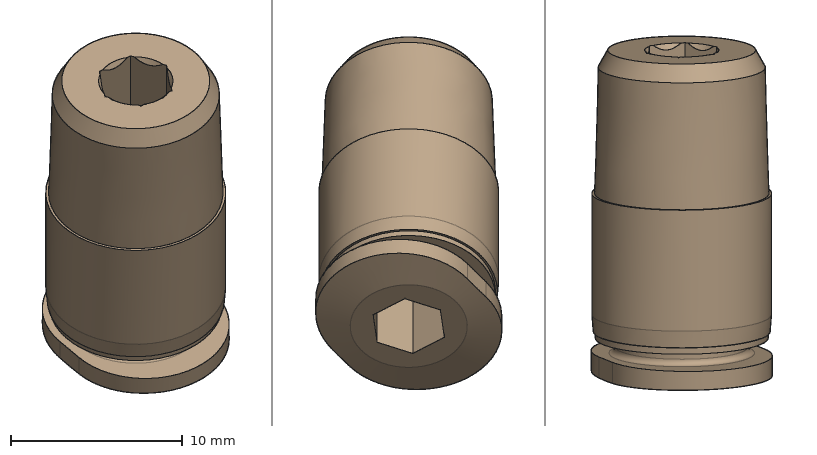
import cadquery as cq
import math

height = 19.5
body_radius = 10.5 / 2

flange_length = 11.6
flange_end_radius = 4.9
flange_top_z = 1.52
underside_flat_radius = 3.41
underside_rise = 0.4

neck_radius = 7.75 / 2
neck_fillet = 0.37
shoulder_radius = 10.1 / 2
shoulder_bottom_z = 2.42
shoulder_top_z = 2.8
lower_taper_radius = 5.17
lower_taper_top_z = 3.82

nose_bottom_z = 11.0
nose_bottom_radius = 5.09
nose_top_radius = 4.88
nose_chamfer_height = 1.01
top_face_radius = 4.3

hex_across_flats = 3.94
countersink_radius = 2.16
countersink_half_angle = 30.0


def make_flange():
    """Oblong plate whose underside is trimmed by a cone about the Z axis."""
    half_length = flange_length / 2
    plate = cq.Workplane("XY").slot2D(flange_length, 2 * flange_end_radius).extrude(flange_top_z)
    envelope = (
        cq.Workplane("XZ")
        .lineTo(underside_flat_radius, 0)
        .lineTo(half_length, underside_rise)
        .lineTo(half_length, flange_top_z)
        .lineTo(0, flange_top_z)
        .close()
        .revolve()
    )
    return plate.intersect(envelope)


def make_turned_body():
    """Neck, shoulder, cylindrical body and nose as one turned profile."""
    return (
        cq.Workplane("XZ")
        .moveTo(0, flange_top_z)
        .lineTo(neck_radius + neck_fillet, flange_top_z)
        .radiusArc((neck_radius, flange_top_z + neck_fillet), neck_fillet)
        .lineTo(neck_radius, shoulder_bottom_z)
        .lineTo(shoulder_radius, shoulder_bottom_z)
        .lineTo(shoulder_radius, shoulder_top_z)
        .lineTo(lower_taper_radius, shoulder_top_z)
        .lineTo(body_radius, lower_taper_top_z)
        .lineTo(body_radius, nose_bottom_z)
        .lineTo(nose_bottom_radius, nose_bottom_z)
        .lineTo(nose_top_radius, height - nose_chamfer_height)
        .lineTo(top_face_radius, height)
        .lineTo(0, height)
        .close()
        .revolve()
    )


def make_socket():
    """Hexagonal through hole with a conical lead-in at the top."""
    hex_across_corners = hex_across_flats / math.cos(math.radians(30))
    hexagon = (
        cq.Workplane("XY")
        .transformed(rotate=(0, 0, 90))
        .polygon(6, hex_across_corners)
        .extrude(height)
    )
    countersink_depth = countersink_radius / math.tan(math.radians(countersink_half_angle))
    countersink = (
        cq.Workplane("XZ")
        .moveTo(0, height)
        .lineTo(countersink_radius, height)
        .lineTo(0, height - countersink_depth)
        .close()
        .revolve()
    )
    return hexagon.union(countersink)


result = make_flange().union(make_turned_body()).cut(make_socket())